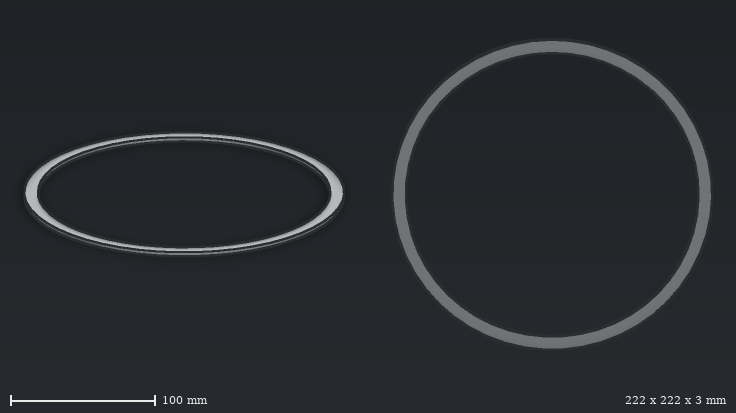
import cadquery as cq

outer_diameter = 222.0
inner_diameter = 203.0
thickness = 3.0

result = (
    cq.Workplane("XY")
    .circle(outer_diameter / 2)
    .circle(inner_diameter / 2)
    .extrude(thickness)
)